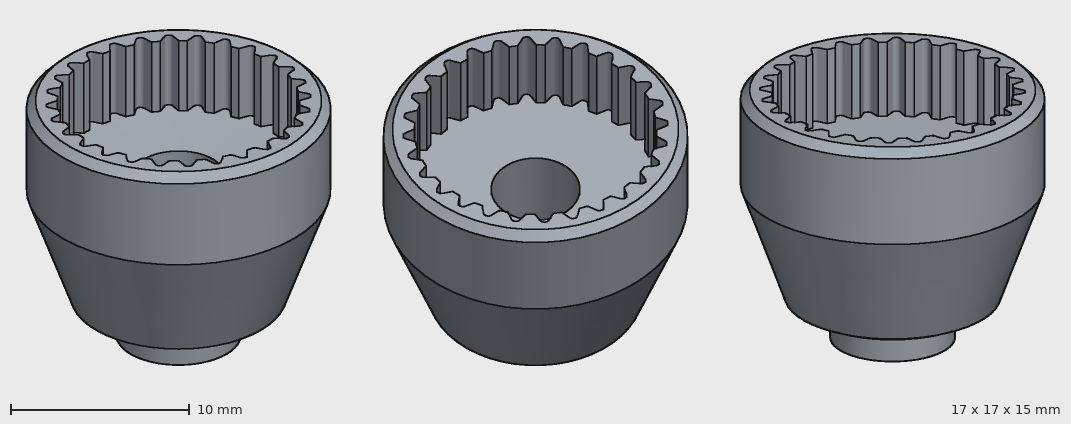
import cadquery as cq
import math

total_height = 15.0
body_radius = 8.5
top_chamfer = 0.51
taper_top_height = 9.3
taper_foot_height = 2.48
taper_foot_radius = 6.03
body_base_height = 2.0
body_base_radius = 5.06
spigot_radius = 3.5

bore_radius = 2.48
socket_depth = 4.5
floor_drop = 0.15
socket_radius = 6.76
groove_count = 28
groove_outer_radius = 7.4
groove_mouth_width = 1.02
groove_tip_width = 0.32
groove_tip_fillet = 0.24
groove_overlap = 0.17

floor_slope = floor_drop / (socket_radius - bore_radius)
socket_floor_height = total_height - socket_depth


def floor_height(radius):
    """Height of the conical socket floor at a given radius."""
    return socket_floor_height + floor_slope * (radius - socket_radius)


def make_body():
    """Revolve the outer profile about Z."""
    profile = [
        (0, 0),
        (spigot_radius, 0),
        (spigot_radius, body_base_height),
        (body_base_radius, body_base_height),
        (taper_foot_radius, taper_foot_height),
        (body_radius, taper_top_height),
        (body_radius, total_height - top_chamfer),
        (body_radius - top_chamfer, total_height),
        (0, total_height),
    ]
    return cq.Workplane("XZ").polyline(profile).close().revolve(360, (0, 0), (0, 1))


def make_socket_space():
    """Space above the conical floor, as wide as the body."""
    profile = [
        (0, floor_height(0)),
        (body_radius, floor_height(body_radius)),
        (body_radius, total_height),
        (0, total_height),
    ]
    return cq.Workplane("XZ").polyline(profile).close().revolve(360, (0, 0), (0, 1))


def make_groove():
    """One tapered spline groove on the +X side, with a rounded tip."""
    half_mouth = groove_mouth_width / 2
    half_tip = groove_tip_width / 2
    mouth_x = math.sqrt(socket_radius**2 - half_mouth**2)
    inner_x = mouth_x - groove_overlap
    profile = [
        (inner_x, -half_mouth),
        (mouth_x, -half_mouth),
        (groove_outer_radius, -half_tip),
        (groove_outer_radius, half_tip),
        (mouth_x, half_mouth),
        (inner_x, half_mouth),
    ]
    base_height = floor_height(0)
    groove = (
        cq.Workplane("XY", origin=(0, 0, base_height))
        .polyline(profile)
        .close()
        .extrude(total_height - base_height)
    )
    return groove.edges("|Z and >X").fillet(groove_tip_fillet)


def make_socket():
    """Round socket with a ring of spline grooves, all ending on the conical floor."""
    base_height = floor_height(0)
    socket = (
        cq.Workplane("XY", origin=(0, 0, base_height))
        .circle(socket_radius)
        .extrude(total_height - base_height)
    )
    groove = make_groove()
    for index in range(groove_count):
        socket = socket.union(groove.rotate((0, 0, 0), (0, 0, 1), index * 360 / groove_count))
    return socket.intersect(make_socket_space())


bore = cq.Workplane("XY").circle(bore_radius).extrude(total_height)
result = make_body().cut(make_socket()).cut(bore)